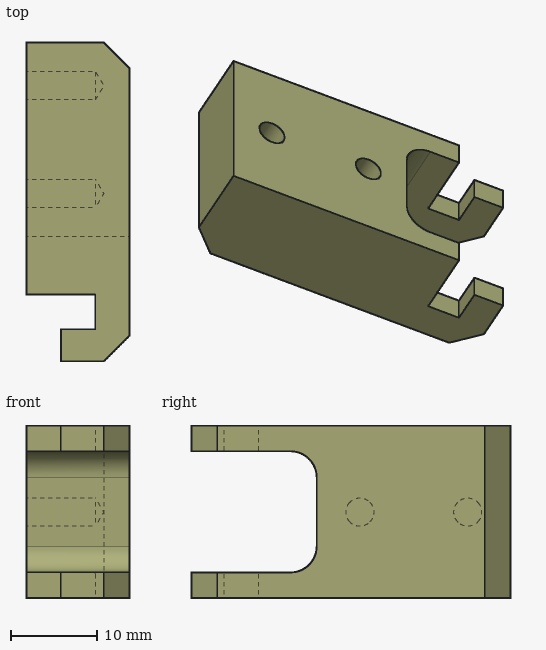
import cadquery as cq
import math

width = 12.0
length = 37.0
height = 20.0

corner_chamfer = 3.0
body_front = 7.75
hook_thickness = 3.75
hook_tip_x = 4.0
hook_slot_depth_x = 8.0

arm_thickness = 3.0
opening_length = 14.5
opening_radius = 3.0

hole_diameter = 3.25
hole_depth = 8.0
drill_point_angle = 118.0
hole_end_distance = 5.0
hole_spacing = 12.5


def hooked_block():
    outline = [
        (0, length),
        (0, body_front),
        (hook_slot_depth_x, body_front),
        (hook_slot_depth_x, hook_thickness),
        (hook_tip_x, hook_thickness),
        (hook_tip_x, 0),
        (width - corner_chamfer, 0),
        (width, corner_chamfer),
        (width, length - corner_chamfer),
        (width - corner_chamfer, length),
    ]
    return cq.Workplane("XY").polyline(outline).close().extrude(height)


def arm_opening():
    return (
        cq.Workplane("XY")
        .box(width, opening_length, height - 2 * arm_thickness, centered=False)
        .translate((0, 0, arm_thickness))
        .edges("|X and >Y")
        .fillet(opening_radius)
    )


def drilled_hole(y):
    """Blind hole along +X with a conical drill point."""
    radius = hole_diameter / 2
    point_depth = radius / math.tan(math.radians(drill_point_angle / 2))
    half_section = [
        (0, 0),
        (0, radius),
        (hole_depth, radius),
        (hole_depth + point_depth, 0),
    ]
    return (
        cq.Workplane("XY")
        .polyline(half_section)
        .close()
        .revolve(360, (0, 0, 0), (1, 0, 0))
        .translate((0, y, height / 2))
    )


result = hooked_block().cut(arm_opening())
for index in range(2):
    hole_y = length - hole_end_distance - index * hole_spacing
    result = result.cut(drilled_hole(hole_y))